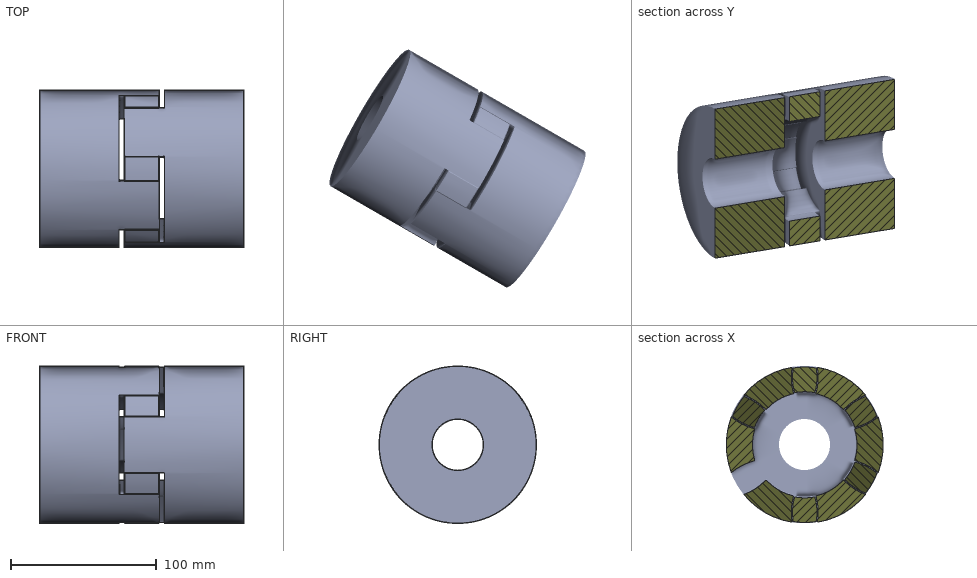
import cadquery as cq
import math


length = 140.0
outer_diameter = 108.0
bore_diameter = 35.0
axial_gap = 3.5
claw_tip_offset = 12.0
claw_inner_radius = 35.7
claw_corner_fillet = 0.5
claw_root_fillet = 0.5
claws_per_hub = 3
turning_allowance = 4.2

bulge_radius = 39.9
bulge_width = 18.2
bulge_circle_radius = 46.3
pad_chamfer = 0.5
pad_count = 5

outer_radius = outer_diameter / 2
claw_blank_radius = outer_radius + turning_allowance
hub_blank_radius = claw_blank_radius + turning_allowance
hub_face_offset = claw_tip_offset + axial_gap
body_length = length / 2 - hub_face_offset
claw_length = hub_face_offset + claw_tip_offset
pad_length = 2 * claw_tip_offset
pocket_pitch = 360 / (2 * claws_per_hub)
claw_pitch = 360 / claws_per_hub


def plane_at(x, angle=0):
    """Sketch plane across the axis at x, with its first direction turned to the angle."""
    return cq.Workplane("YZ", origin=(x, 0, 0)).transformed(rotate=(0, 0, angle))


def ring(x, depth, radius):
    """Ring from the inner radius of the claws out to the given radius."""
    return plane_at(x).circle(radius).circle(claw_inner_radius).extrude(depth)


def pocket_barrel(angle, x, depth):
    """Lens-shaped prism along X: the overlap of two large cylinders side by side."""
    offset = bulge_radius - bulge_width / 2
    lower = plane_at(x, angle).center(bulge_circle_radius, -offset).circle(bulge_radius).extrude(depth)
    upper = plane_at(x, angle).center(bulge_circle_radius, offset).circle(bulge_radius).extrude(depth)
    return lower.intersect(upper)


def is_inside_rim(edge):
    """True if the middle of an edge lies below the outside of the hubs."""
    middle = edge.positionAt(0.5)
    return math.hypot(middle.y, middle.z) < outer_radius


def make_claw(angle):
    """Claw of the left hub: a ring sector whose flanks are hollowed by the pockets beside it."""
    start = -hub_face_offset
    reach = 2 * claw_blank_radius
    wedge = (
        plane_at(start, angle - pocket_pitch / 2)
        .lineTo(reach, 0)
        .polarLineTo(reach, pocket_pitch)
        .close()
        .extrude(claw_length)
    )
    claw = ring(start, claw_length, claw_blank_radius).intersect(wedge)
    for side in (-1, 1):
        claw = claw.cut(pocket_barrel(angle + side * pocket_pitch / 2, start, claw_length))
    inner_corners = claw.edges("|X").filter(is_inside_rim)
    return inner_corners.fillet(claw_corner_fillet)


def make_left_hub():
    """Hub on the -X side with its claws pointing towards +X."""
    hub = plane_at(-length / 2).circle(hub_blank_radius).extrude(body_length)
    for index in range(claws_per_hub):
        hub = hub.union(make_claw(index * claw_pitch))
    hub_face = hub.faces(cq.selectors.NearestToPointSelector((-hub_face_offset, 0, 0)))
    roots = hub_face.edges().filter(is_inside_rim)
    hub = roots.fillet(claw_root_fillet)
    turned_outside = plane_at(-length / 2).circle(outer_radius).extrude(body_length + claw_length)
    bore = plane_at(-length / 2).circle(bore_diameter / 2).extrude(body_length)
    return hub.intersect(turned_outside).cut(bore)


def make_pad(angle):
    """Barrel pad with chamfered edges, flush with the claws inside and outside."""
    barrel = pocket_barrel(angle, -claw_tip_offset, pad_length)
    pad = barrel.intersect(ring(-claw_tip_offset, pad_length, outer_radius))
    return pad.edges().chamfer(pad_chamfer)


left_hub = make_left_hub()
right_hub = left_hub.rotate((0, 0, 0), (0, 0, 1), 180)
pads = [make_pad((index + 0.5) * pocket_pitch) for index in range(pad_count)]

result = cq.Compound.makeCompound([left_hub.val(), right_hub.val(), *[pad.val() for pad in pads]])